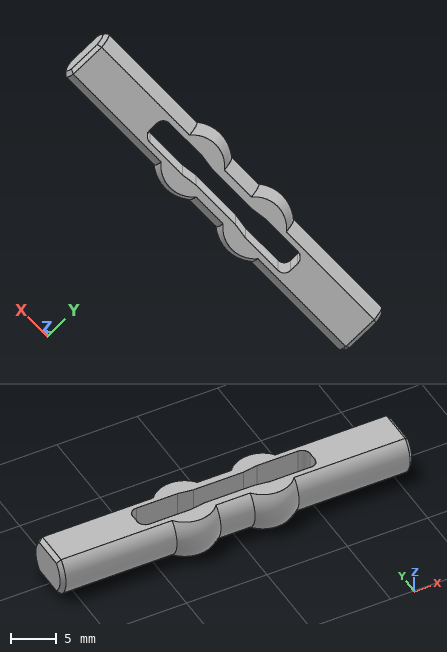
import cadquery as cq

length = 43.75
rod_diameter = 6.6
height = 5.0
end_chamfer = 0.5

bulge_diameter = 8.58
bulge_offset = 4.85

slot_length = 22.05
slot_width = 3.0
slot_corner_radius = 0.95
waist_width = 2.5
waist_end = 3.1
taper_end = 4.95


def rod_with_bulges():
    """Round rod with two spherical bulges, cut down to the flats, then chamfered at both ends."""
    body = cq.Workplane("YZ").circle(rod_diameter / 2).extrude(length / 2, both=True)
    for offset in (-bulge_offset, bulge_offset):
        bulge = cq.Workplane("XY").sphere(bulge_diameter / 2).translate((offset, 0, 0))
        body = body.union(bulge)
    space_between_flats = cq.Workplane("XY").box(length, bulge_diameter, height)
    body = body.intersect(space_between_flats)
    return body.faces("<X or >X").chamfer(end_chamfer)


def slot_cutter():
    """Vertical slot with rounded end corners that narrows towards mid-length."""
    back_edge = [
        (-slot_length / 2, slot_width / 2),
        (-taper_end, slot_width / 2),
        (-waist_end, waist_width / 2),
        (waist_end, waist_width / 2),
        (taper_end, slot_width / 2),
        (slot_length / 2, slot_width / 2),
    ]
    front_edge = [(x, -y) for x, y in reversed(back_edge)]
    outline = cq.Workplane("XY").polyline(back_edge + front_edge).close()
    cutter = outline.extrude(height / 2, both=True)
    return cutter.faces("<X or >X").edges("|Z").fillet(slot_corner_radius)


result = rod_with_bulges().cut(slot_cutter())